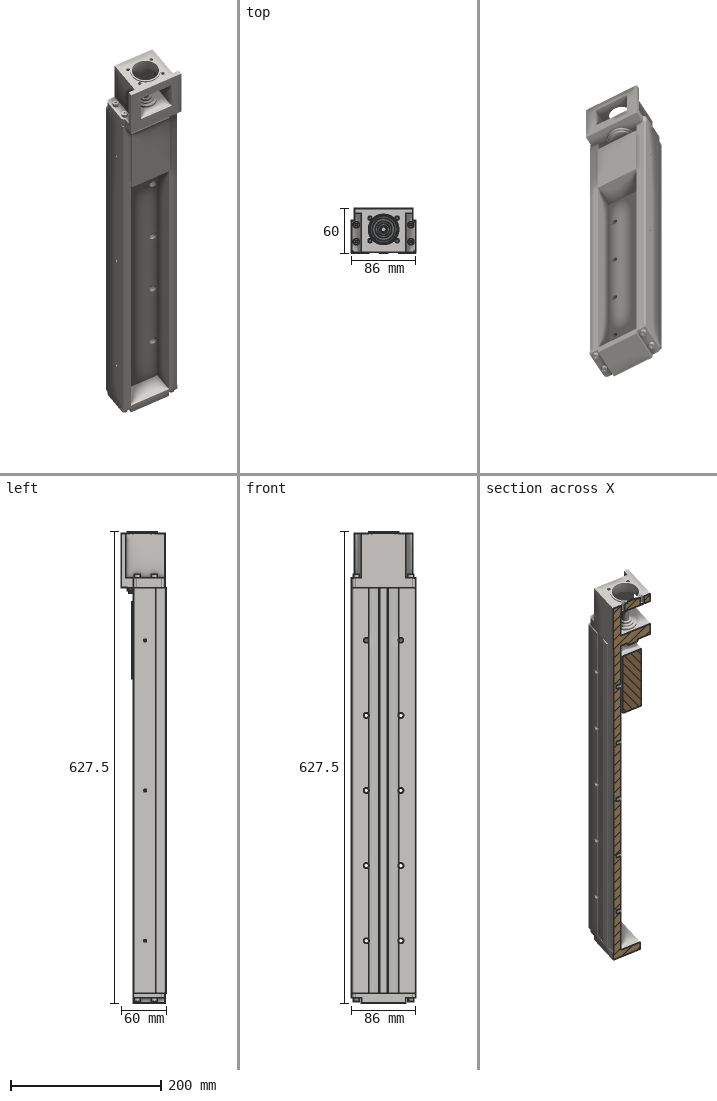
import cadquery as cq
import math


total_width = 86.0
total_height = 627.5
underside_y = -30.0
bracket_back_y = 30.0
carriage_top_y = 16.0

rail_length = 540.0
rail_start_z = 13.0
rail_end_z = rail_start_z + rail_length
rail_top_y = 14.0
rail_corner_radius = 1.8
rail_top_chamfer = 1.0
channel_half_width = 29.5
channel_floor_y = -16.0
side_step_y = -16.0
side_step_depth = 0.3
foot_inner_x = 20.0
centre_pad_half_width = 5.0
centre_pad_base_half_width = 6.5
underside_relief = 2.0

hole_pitch = 100.0
hole_row_count = 5
first_hole_offset = 70.0
first_hole_z = rail_start_z + first_hole_offset
mounting_hole_x = 23.0
mounting_hole_diameter = 6.6
counterbore_diameter = 11.0
counterbore_depth = 7.0
side_hole_pitch = 200.0
side_hole_count = 3
side_hole_diameter = 3.24
side_hole_depth = 8.0
side_hole_y = -2.0

plate_half_width = 42.8
plate_bottom_y = -28.6
plate_lower_radius = 5.0
flange_upper_radius = 4.0
end_plate_thickness = 6.0
flange_thickness = 13.0
flange_top_z = rail_end_z + flange_thickness
tongue_half_width = 29.5

ring_height = 2.0
bracket_top_z = total_height - ring_height
back_plate_half_width = 39.0
back_plate_inner_y = 23.5
screw_axis_y = 2.0

ring_diameter = 40.0
bore_diameter = 36.0
bore_depth = 16.0
motor_hole_x = 18.0
motor_hole_y = 15.0
motor_hole_diameter = 5.0
motor_hole_depth = 12.0
coupling_half_width = 24.0
coupling_floor_z = flange_top_z + 6.0
coupling_front_y = screw_axis_y - bore_diameter / 2
coupling_top_z = total_height - bore_depth

bearing_diameter = 30.0
bearing_height = 3.0
bearing_ring_diameter = 22.0
bearing_ring_height = 5.0
nut_diameter = 16.0
nut_height = 8.0
shaft_diameter = 10.0
shaft_height = 26.0
shaft_chamfer = 1.5

cap_diameter = 40.0
cap_thickness = 4.0
cap_step_diameter = 36.0
cap_step_thickness = 3.5

screw_head_diameter = 8.0
screw_head_height = 5.0
socket_diameter = 3.0
socket_depth = 2.5
screw_x = 36.3
screw_ys = (8.2, -14.4)

carriage_length = 102.0
carriage_centre_z = first_hole_z + (hole_row_count - 1) * hole_pitch
carriage_floor_gap = 2.0


def box(x_min, x_max, y_min, y_max, z_min, z_max):
    """Box between two corners."""
    block = cq.Workplane("XY").box(x_max - x_min, y_max - y_min, z_max - z_min, centered=False)
    return block.translate((x_min, y_min, z_min))


def disc(x, y, z, diameter, height):
    """Upright cylinder starting at z; a negative height runs downward."""
    return cq.Workplane("XY", origin=(x, y, z)).circle(diameter / 2).extrude(height)


def make_rail():
    """Channel section with a relieved underside."""
    half_width = total_width / 2
    relief_y = underside_y + underside_relief
    upper_half_width = half_width - side_step_depth
    arc_offset = rail_corner_radius * (1 - math.sqrt(0.5))
    right_side = [
        (half_width, side_step_y),
        (upper_half_width, side_step_y),
        (upper_half_width, rail_top_y - rail_top_chamfer),
        (upper_half_width - rail_top_chamfer, rail_top_y),
        (channel_half_width, rail_top_y),
        (channel_half_width, channel_floor_y),
    ]
    left_side = [(-x, y) for x, y in reversed(right_side)]
    section = (
        cq.Workplane("XY", origin=(0, 0, rail_start_z))
        .moveTo(-half_width + rail_corner_radius, underside_y)
        .lineTo(-foot_inner_x, underside_y)
        .lineTo(-foot_inner_x, relief_y)
        .lineTo(-centre_pad_base_half_width, relief_y)
        .lineTo(-centre_pad_half_width, underside_y)
        .lineTo(centre_pad_half_width, underside_y)
        .lineTo(centre_pad_base_half_width, relief_y)
        .lineTo(foot_inner_x, relief_y)
        .lineTo(foot_inner_x, underside_y)
        .lineTo(half_width - rail_corner_radius, underside_y)
        .threePointArc(
            (half_width - arc_offset, underside_y + arc_offset),
            (half_width, underside_y + rail_corner_radius),
        )
    )
    for x, y in right_side + left_side:
        section = section.lineTo(x, y)
    section = section.lineTo(-half_width, underside_y + rail_corner_radius)
    section = section.threePointArc(
        (-half_width + arc_offset, underside_y + arc_offset),
        (-half_width + rail_corner_radius, underside_y),
    )
    return section.close().extrude(rail_length)


def cut_rail_holes(body):
    """Counterbored mounting holes in the floor and blind holes in both sides."""
    for row in range(hole_row_count):
        z = first_hole_z + row * hole_pitch
        for x in (-mounting_hole_x, mounting_hole_x):
            floor_plane = cq.Workplane("XZ", origin=(x, channel_floor_y, z))
            floor_thickness = channel_floor_y - underside_y
            body = body.cut(floor_plane.circle(mounting_hole_diameter / 2).extrude(floor_thickness))
            body = body.cut(floor_plane.circle(counterbore_diameter / 2).extrude(counterbore_depth))
    for index in range(side_hole_count):
        z = first_hole_z + index * side_hole_pitch
        for side in (-1, 1):
            side_plane = cq.Workplane("YZ", origin=(side * total_width / 2, side_hole_y, z))
            body = body.cut(side_plane.circle(side_hole_diameter / 2).extrude(-side * side_hole_depth))
    return body


def make_plate(z_min, thickness):
    """Plate with rounded lower corners, closing one end of the rail."""
    plate = box(-plate_half_width, plate_half_width, plate_bottom_y, rail_top_y, z_min, z_min + thickness)
    return plate.faces("<Y").edges("|Z").fillet(plate_lower_radius)


def add_screw_heads(plate, plate_face_z, outward):
    """Four socket-head screws on a plate, pointing up (outward 1) or down (outward -1)."""
    for x in (-screw_x, screw_x):
        for y in screw_ys:
            tip_z = plate_face_z + outward * screw_head_height
            plate = plate.union(disc(x, y, plate_face_z, screw_head_diameter, outward * screw_head_height))
            plate = plate.cut(disc(x, y, tip_z, socket_diameter, -outward * socket_depth))
    return plate


def make_end_plate():
    """Lower end plate with its tongue and screw heads."""
    plate = make_plate(rail_start_z - end_plate_thickness, end_plate_thickness)
    plate = plate.union(
        box(-tongue_half_width, tongue_half_width, plate_bottom_y, rail_top_y, 0, rail_start_z)
    )
    return add_screw_heads(plate, rail_start_z - end_plate_thickness, -1)


def make_bracket():
    """Flange, motor block and back plate, hollowed for the motor and the coupling."""
    bracket = make_plate(rail_end_z, flange_thickness)
    bracket = bracket.faces(">Y").edges("|Z").fillet(flange_upper_radius)
    bracket = bracket.union(
        box(
            -tongue_half_width, tongue_half_width,
            plate_bottom_y, bracket_back_y,
            rail_end_z, bracket_top_z,
        )
    )
    bracket = bracket.union(
        box(
            -back_plate_half_width, back_plate_half_width,
            back_plate_inner_y, bracket_back_y,
            rail_end_z, bracket_top_z,
        )
    )
    bracket = bracket.union(
        box(
            -back_plate_half_width, back_plate_half_width,
            screw_axis_y, bracket_back_y,
            rail_end_z, flange_top_z,
        )
    )
    bracket = add_screw_heads(bracket, flange_top_z, 1)
    bracket = bracket.union(disc(0, screw_axis_y, bracket_top_z, ring_diameter, ring_height))

    bracket = bracket.cut(disc(0, screw_axis_y, coupling_top_z, bore_diameter, bore_depth))
    bracket = bracket.cut(
        box(
            -coupling_half_width, coupling_half_width,
            coupling_front_y, bracket_back_y,
            coupling_floor_z, coupling_top_z,
        )
    )
    for x in (-motor_hole_x, motor_hole_x):
        for y in (screw_axis_y - motor_hole_y, screw_axis_y + motor_hole_y):
            bracket = bracket.cut(
                disc(x, y, bracket_top_z - motor_hole_depth, motor_hole_diameter, motor_hole_depth)
            )
    return bracket


def make_screw_end():
    """Bearing seat, nut and shaft end standing in the coupling space, on the screw axis."""
    screw_end = disc(0, screw_axis_y, coupling_floor_z, bearing_diameter, bearing_height)
    for diameter, height in ((bearing_ring_diameter, bearing_ring_height), (nut_diameter, nut_height)):
        screw_end = screw_end.union(disc(0, screw_axis_y, coupling_floor_z, diameter, height))
    shaft = disc(0, screw_axis_y, coupling_floor_z, shaft_diameter, shaft_height)
    return screw_end.union(shaft.faces(">Z").chamfer(shaft_chamfer))


def make_bearing_cap():
    """Stepped round cap under the bracket, reaching into the channel."""
    cap = disc(0, screw_axis_y, rail_end_z - cap_thickness, cap_diameter, cap_thickness)
    cap_step_z = rail_end_z - cap_thickness - cap_step_thickness
    return cap.union(disc(0, screw_axis_y, cap_step_z, cap_step_diameter, cap_step_thickness))


def make_actuator():
    """Rail, end plate, bracket and bearing parts as one body."""
    body = cut_rail_holes(make_rail())
    for part in (make_end_plate(), make_bracket(), make_screw_end(), make_bearing_cap()):
        body = body.union(part)
    return body


def make_carriage():
    """Block between the channel walls, standing clear of the channel floor."""
    z_min = carriage_centre_z - carriage_length / 2
    z_max = z_min + carriage_length
    return box(
        -channel_half_width, channel_half_width,
        channel_floor_y + carriage_floor_gap, carriage_top_y,
        z_min, z_max,
    )


actuator = make_actuator()
carriage = make_carriage()
result = cq.Compound.makeCompound([actuator.val(), carriage.val()])